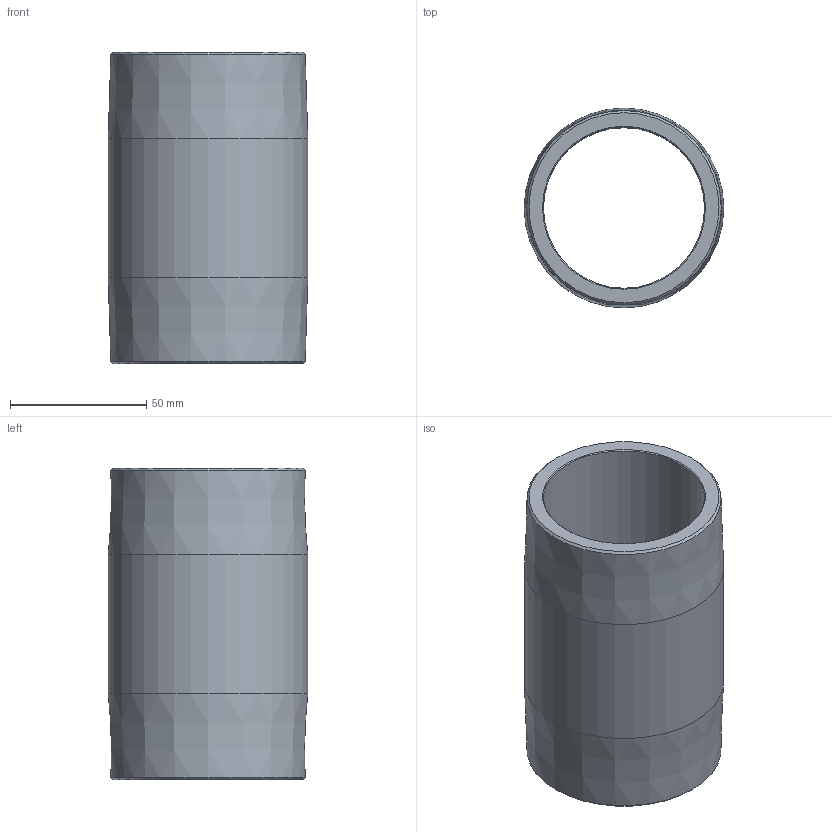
import cadquery as cq

length = 114.3
outer_diameter = 73.15
bore_diameter = 59.0
taper_length = 31.6
taper_ratio = 1 / 16
outer_chamfer = 0.8
bore_chamfer = 0.35

outer_radius = outer_diameter / 2
bore_radius = bore_diameter / 2
half_length = length / 2
taper_start = half_length - taper_length
outer_chamfer_start = half_length - outer_chamfer
bore_chamfer_start = half_length - bore_chamfer
taper_end_radius = outer_radius - (taper_length - outer_chamfer) * taper_ratio / 2
face_outer_radius = taper_end_radius - outer_chamfer
face_inner_radius = bore_radius + bore_chamfer


def make_tube():
    """Revolve the wall section (radius, height) around the Z axis; both ends are alike."""
    upper_outline = [
        (outer_radius, taper_start),
        (taper_end_radius, outer_chamfer_start),
        (face_outer_radius, half_length),
        (face_inner_radius, half_length),
        (bore_radius, bore_chamfer_start),
    ]
    lower_outline = [(radius, -height) for radius, height in reversed(upper_outline)]
    wall_section = cq.Workplane("XZ").polyline(upper_outline + lower_outline).close()
    return wall_section.revolve(360, (0, 0, 0), (0, 1, 0))


result = make_tube()